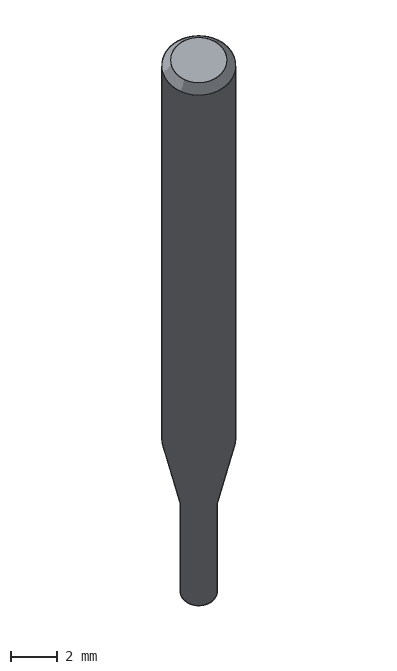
import cadquery as cq

total_length = 38.1
shank_diameter = 3.15
tip_diameter = 1.6
tip_length = 6.4
taper_length = 4.5
chamfer_height = 0.4
chamfer_width = 0.4

shank_radius = shank_diameter / 2
tip_radius = tip_diameter / 2
shank_start = tip_length + taper_length

half_profile = (
    cq.Workplane("XZ")
    .lineTo(tip_radius, 0)
    .lineTo(tip_radius, tip_length)
    .lineTo(shank_radius, shank_start)
    .lineTo(shank_radius, total_length - chamfer_height)
    .lineTo(shank_radius - chamfer_width, total_length)
    .lineTo(0, total_length)
    .close()
)

result = half_profile.revolve(360, (0, 0, 0), (0, 1, 0))